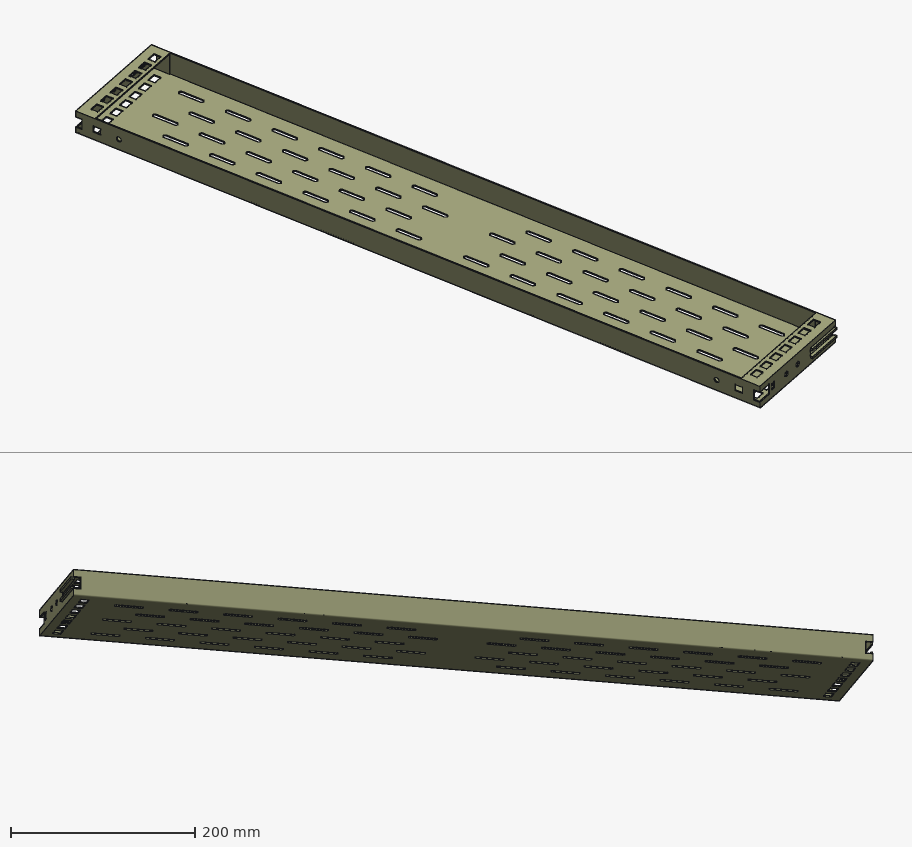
import cadquery as cq

overall_length = 899
width = 146.5
height = 30.0
thickness = 1.5
bend_radius = 1.5
flange_width = 25.0
return_thickness = 1.0

lip_depth = 3.0
body_length = overall_length - lip_depth

half_length = body_length / 2
half_width = width / 2
mid_height = height / 2

slot_length = 32.0
slot_width = 5.0
slot_pitch = 61.0
slots_per_row = 6
inner_slot_x = 75.0
row_spacing = 25.0
row_count = 5

flange_hole_inset = 16.0
flange_hole_length = 9.0
flange_hole_width = 12.0
flange_hole_count = 7
flange_hole_span = 111.0

round_hole_diameter = 6.0
round_hole_inset = 57.0
end_hole_offset = 22.0
side_window_inset = 28.0
end_window_inset = 26.0
window_height = 8.0
side_window_length = 10.0
end_window_width = 5.0

notch_height = 13.5
notch_length = 8.0
notch_width = 19.0
end_slot_length = 48.5
end_slot_height = 8.0


def box(size, centre):
    """Box of the given (X, Y, Z) size centred on a point."""
    return cq.Workplane("XY").box(*size).translate(centre)


def make_tray():
    """Box hollowed to sheet thickness and opened at the top between the end flanges."""
    inner_length = body_length - 2 * thickness
    inner_width = width - 2 * thickness
    inner_height = height - 2 * thickness
    outer = box((body_length, width, height), (0, 0, mid_height))
    outer = outer.edges("|X and <Z").fillet(bend_radius)
    cavity = box((inner_length, inner_width, inner_height), (0, 0, mid_height))
    opening = box((body_length - 2 * flange_width, inner_width, height), (0, 0, thickness + mid_height))
    return outer.cut(cavity).cut(opening)


def make_return(end):
    """Tab of the end piece lying against the inside of the +Y wall, as long as the flange."""
    x = end * (half_length - flange_width / 2)
    y = half_width - thickness - return_thickness / 2
    return box((flange_width, return_thickness, height - thickness), (x, y, mid_height))


def make_lips():
    """Raised block on the +X end; the end slot later splits it into two lips."""
    lip_length = end_slot_length - thickness
    y = half_width - thickness - lip_length / 2
    return box((lip_depth, lip_length, notch_height), (half_length + lip_depth / 2, y, mid_height))


def floor_slots():
    points = []
    for row in range(row_count):
        y = (row - (row_count - 1) / 2) * row_spacing
        stagger = (row % 2) * slot_pitch / 2
        for column in range(slots_per_row):
            x = inner_slot_x - stagger + column * slot_pitch
            points += [(x, y), (-x, y)]
    return cq.Workplane("XY").pushPoints(points).slot2D(slot_length, slot_width).extrude(mid_height)


def flange_holes():
    x_spacing = body_length - 2 * flange_hole_inset
    y_spacing = flange_hole_span / (flange_hole_count - 1)
    holes = cq.Workplane("XY").rarray(x_spacing, y_spacing, 2, flange_hole_count)
    return holes.rect(flange_hole_length, flange_hole_width).extrude(height)


def side_wall_holes():
    """A round hole and a rectangular window near each end of the -Y wall."""
    wall = cq.Workplane("XZ", origin=(0, 0, mid_height))
    round_x = half_length - round_hole_inset
    window_x = half_length - side_window_inset
    rounds = wall.pushPoints([(-round_x, 0), (round_x, 0)]).circle(round_hole_diameter / 2).extrude(width)
    windows = wall.pushPoints([(-window_x, 0), (window_x, 0)])
    windows = windows.rect(side_window_length, window_height).extrude(width)
    return rounds.union(windows)


def end_wall_holes():
    """Two round holes and a rectangular window through both end walls."""
    wall = cq.Workplane("YZ", origin=(0, 0, mid_height))
    rounds = wall.pushPoints([(0, 0), (-end_hole_offset, 0)]).circle(round_hole_diameter / 2)
    rounds = rounds.extrude(overall_length, both=True)
    windows = wall.center(end_window_inset - half_width, 0).rect(end_window_width, window_height)
    windows = windows.extrude(overall_length, both=True)
    return rounds.union(windows)


def corner_openings(end):
    """Openings at one end: a notch in each side wall and a long slot on the +Y side of the end wall."""
    notch_x = end * (half_length - notch_length / 2)
    far_notch_width = thickness + return_thickness
    near_notch = box((notch_length, 2 * notch_width, notch_height), (notch_x, -half_width, mid_height))
    far_notch = box((notch_length, 2 * far_notch_width, notch_height), (notch_x, half_width, mid_height))
    slot_size = (2 * notch_length, 2 * end_slot_length, end_slot_height)
    slot = box(slot_size, (end * half_length, half_width, mid_height))
    return near_notch.union(far_notch).union(slot)


result = make_tray().union(make_lips())
for end in (-1, 1):
    result = result.union(make_return(end))
result = result.cut(floor_slots()).cut(flange_holes())
result = result.cut(side_wall_holes()).cut(end_wall_holes())
for end in (-1, 1):
    result = result.cut(corner_openings(end))